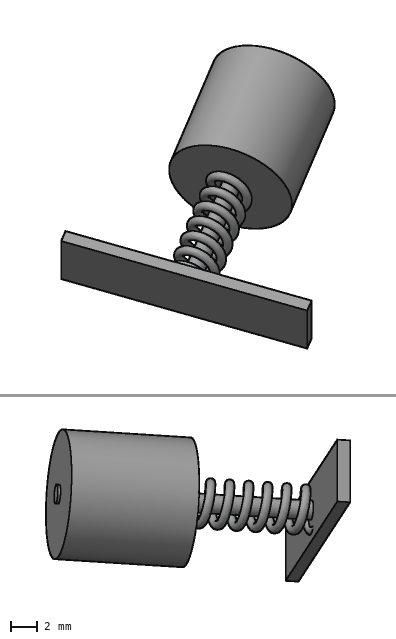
import cadquery as cq

total_length = 21.0
plate_width = 20.0
plate_height = 5.0
plate_thickness = 1.0

housing_diameter = 10.0
housing_length = 10.0

rod_diameter = 1.5
rod_protrusion = 0.2

spring_outer_diameter = 3.95
wire_diameter = 0.74
spring_pitch = 1.5
spring_turns = 8

housing_back = total_length - rod_protrusion
housing_front = housing_back - housing_length
spring_length = housing_front - plate_thickness
coil_radius = (spring_outer_diameter - wire_diameter) / 2


def cylinder_along_y(diameter, start, length):
    """Cylinder on the Y axis from Y = start to Y = start + length."""
    base = cq.Workplane("XZ", origin=(0, start, 0))
    return base.circle(diameter / 2).extrude(-length)


def make_housing():
    """Round housing bored through for the rod."""
    body = cylinder_along_y(housing_diameter, housing_front, housing_length)
    return body.cut(cylinder_along_y(rod_diameter, housing_front, housing_length))


def make_spring():
    """Left-handed coil, trimmed flush with the plate and the housing."""
    helix_height = spring_turns * spring_pitch
    helix = cq.Wire.makeHelix(spring_pitch, helix_height, coil_radius, lefthand=True)
    wire_section = cq.Workplane("XZ", origin=(coil_radius, 0, 0)).circle(wire_diameter / 2)
    coil = wire_section.sweep(cq.Workplane(obj=helix), isFrenet=True)

    helix_start = housing_front - (spring_turns - 1) * spring_pitch
    coil = coil.rotate((0, 0, 0), (0, 0, 1), 180)
    coil = coil.rotate((0, 0, 0), (1, 0, 0), -90)
    coil = coil.translate((0, helix_start, 0))
    gap = cylinder_along_y(housing_diameter, plate_thickness, spring_length)
    return coil.intersect(gap)


def make_plunger():
    """Plate with the rod and the spring fixed to its inner face."""
    plate = cq.Workplane("XY").box(
        plate_width, plate_thickness, plate_height, centered=(True, False, True)
    )
    rod = cylinder_along_y(rod_diameter, plate_thickness, total_length - plate_thickness)
    return plate.union(rod).union(make_spring())


housing = make_housing()
plunger = make_plunger()
result = cq.Compound.makeCompound([housing.val(), *plunger.solids().vals()])